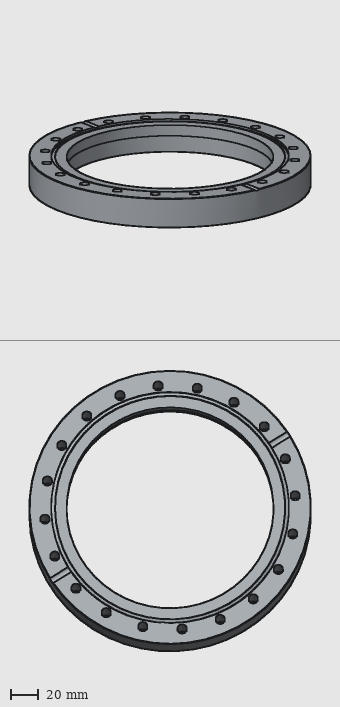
import cadquery as cq
import math

outer_diameter = 203.0
thickness = 22.0
rim_chamfer = 0.5

bore_diameter = 149.0
socket_diameter = 152.9
socket_depth = 12.8

recess_diameter = 171.3
knife_diameter = 166.0
knife_foot_diameter = 165.5
knife_tip_depth = 0.71
knife_slope = 20.0
inner_floor_depth = 1.0

bolt_count = 20
bolt_circle_diameter = 181.0
bolt_diameter = 6.7

groove_width = 4.3
groove_depth = 0.8


def flange_ring():
    bore_radius = bore_diameter / 2
    socket_radius = socket_diameter / 2
    knife_radius = knife_diameter / 2
    recess_radius = recess_diameter / 2
    knife_drop = (recess_radius - knife_radius) * math.tan(math.radians(knife_slope))
    section = (
        cq.Workplane("XZ")
        .moveTo(socket_radius, 0)
        .lineTo(outer_diameter / 2, 0)
        .lineTo(outer_diameter / 2, thickness - rim_chamfer)
        .lineTo(outer_diameter / 2 - rim_chamfer, thickness)
        .lineTo(recess_radius, thickness)
        .lineTo(recess_radius, thickness - knife_tip_depth - knife_drop)
        .lineTo(knife_radius, thickness - knife_tip_depth)
        .lineTo(knife_foot_diameter / 2, thickness - inner_floor_depth)
        .lineTo(bore_radius, thickness - inner_floor_depth)
        .lineTo(bore_radius, socket_depth)
        .lineTo(socket_radius, socket_depth)
        .close()
    )
    return section.revolve(360, (0, 0, 0), (0, 1, 0))


def bolt_holes():
    half_step = 180 / bolt_count
    return (
        cq.Workplane("XY")
        .polarArray(bolt_circle_diameter / 2, half_step, 360, bolt_count)
        .circle(bolt_diameter / 2)
        .extrude(thickness)
    )


def leak_grooves():
    groove_radius = ((groove_width / 2) ** 2 + groove_depth**2) / (2 * groove_depth)
    cutter = (
        cq.Workplane("YZ")
        .center(0, thickness - groove_depth + groove_radius)
        .circle(groove_radius)
        .extrude(outer_diameter / 2, both=True)
    )
    recess = cq.Workplane("XY").circle(recess_diameter / 2).extrude(2 * thickness)
    return cutter.cut(recess)


result = flange_ring().cut(bolt_holes()).cut(leak_grooves())